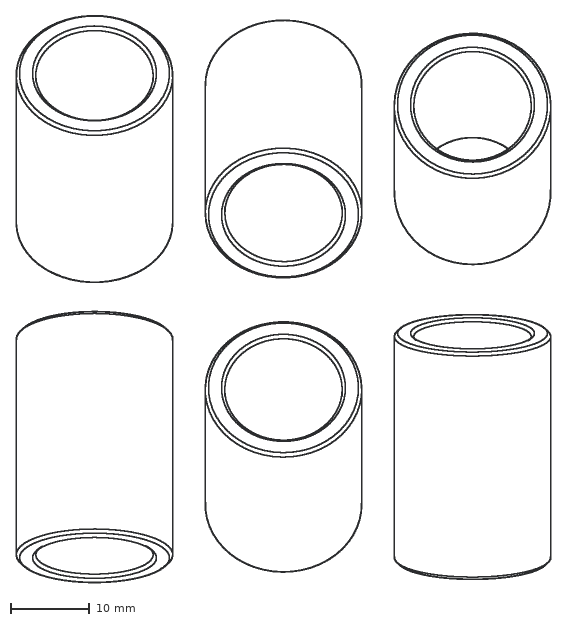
import cadquery as cq

length = 30.0
outer_diameter = 20.0
bore_diameter = 15.0
chamfer_size = 0.42

tube = (
    cq.Workplane("XY")
    .circle(outer_diameter / 2)
    .circle(bore_diameter / 2)
    .extrude(length)
)

result = tube.faces("<Z or >Z").edges().chamfer(chamfer_size)